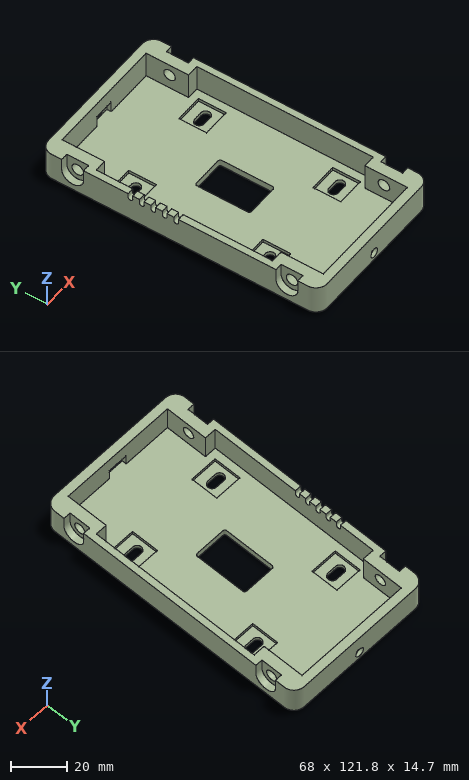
import cadquery as cq

length = 121.8
width = 68.0
height = 14.7
corner_radius = 5.0
bottom_chamfer = 2.1

floor_thickness = 3.0
end_wall = 3.9
side_wall = 2.9
corner_block_width = 8.0
wide_cavity_length = 77.0

window_width = 15.2
window_length = 24.0
window_radius = 1.0

slot_spacing_x = 43.1
slot_spacing_y = 58.6
slot_length = 7.9
slot_width = 4.0
recess_size = 12.0
recess_depth = 1.3

screw_spacing = 93.5
screw_diameter = 5.0
screw_height = 9.6
head_pocket_width = 9.5
head_pocket_depth = 3.2

groove_count = 5
groove_pitch = 5.0
groove_width = 2.0
groove_depth = 2.8
groove_row_center = 11.6

end_hole_diameter = 4.0
end_hole_height = 5.6
nut_pocket_width = 8.8
nut_pocket_depth = 2.0
nut_pocket_top = 8.0


def box(size_x, size_y, z_bottom, z_top, center=(0, 0)):
    """Upright block centred on a point in plan, between two heights."""
    block = cq.Workplane("XY", origin=(center[0], center[1], z_bottom))
    return block.rect(size_x, size_y).extrude(z_top - z_bottom)


def cylinder_along_x(diameter, x_start, x_length, y, z):
    plane = cq.Workplane("YZ", origin=(x_start, y, z))
    return plane.circle(diameter / 2).extrude(x_length)


def open_slot_along_x(slot_size, x_start, x_length, y, arc_center_z):
    """Slot with a half-round bottom, open at the rim."""
    bottom = cylinder_along_x(slot_size, x_start, x_length, y, arc_center_z)
    center = (x_start + x_length / 2, y)
    return bottom.union(box(x_length, slot_size, arc_center_z, height, center))


def make_shell():
    body = box(width, length, 0, height)
    body = body.edges("|Z").fillet(corner_radius)
    body = body.faces("<Z").edges().chamfer(bottom_chamfer)
    wide_cavity_width = width - 2 * side_wall
    narrow_cavity_width = width - 2 * corner_block_width
    body = body.cut(box(wide_cavity_width, wide_cavity_length, floor_thickness, height))
    return body.cut(box(narrow_cavity_width, length - 2 * end_wall, floor_thickness, height))


def cut_floor(body):
    window = box(window_width, window_length, 0, floor_thickness)
    body = body.cut(window.edges("|Z").fillet(window_radius))
    for x in (-slot_spacing_x / 2, slot_spacing_x / 2):
        for y in (-slot_spacing_y / 2, slot_spacing_y / 2):
            recess_bottom = floor_thickness - recess_depth
            body = body.cut(box(recess_size, recess_size, recess_bottom, floor_thickness, (x, y)))
            slot = cq.Workplane("XY").center(x, y).slot2D(slot_length, slot_width)
            body = body.cut(slot.extrude(floor_thickness))
    return body


def cut_screw_holes(body):
    for y in (-screw_spacing / 2, screw_spacing / 2):
        body = body.cut(cylinder_along_x(screw_diameter, -width / 2, width, y, screw_height))
        for x_start in (-width / 2, width / 2 - head_pocket_depth):
            pocket = open_slot_along_x(head_pocket_width, x_start, head_pocket_depth, y, screw_height)
            body = body.cut(pocket)
    return body


def cut_rim_grooves(body):
    arc_center_z = height - groove_depth + groove_width / 2
    for index in range(groove_count):
        y = groove_row_center + (index - (groove_count - 1) / 2) * groove_pitch
        body = body.cut(open_slot_along_x(groove_width, -width / 2, side_wall, y, arc_center_z))
    return body


def cut_end_walls(body):
    hole = cq.Workplane("XZ", origin=(0, length / 2, end_hole_height))
    body = body.cut(hole.circle(end_hole_diameter / 2).extrude(length))
    pocket_span = length - 2 * (end_wall - nut_pocket_depth)
    return body.cut(box(nut_pocket_width, pocket_span, floor_thickness, nut_pocket_top))


result = make_shell()
result = cut_floor(result)
result = cut_screw_holes(result)
result = cut_rim_grooves(result)
result = cut_end_walls(result)